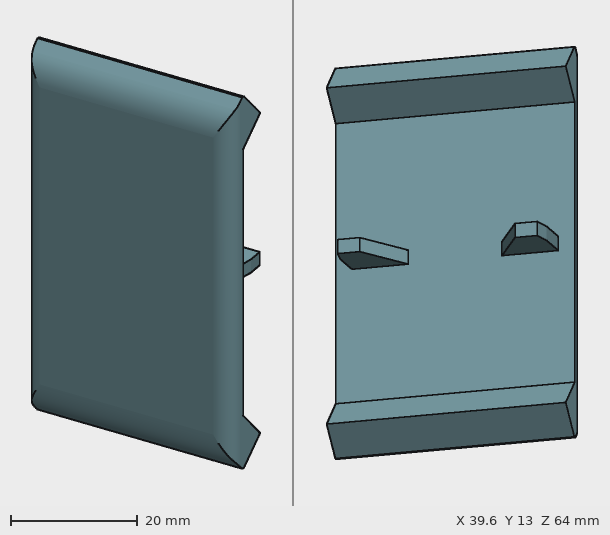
import cadquery as cq
import math

width = 39.6
height = 64.0
plate_thickness = 3.9
half_width = width / 2
half_height = height / 2

side_radius = 3.0

front_face_half_height = 25.6
edge_flat_front = 3.6
edge_flat_back = 4.1
rib_tip_depth = 8.5

peg_end_depth = 13.0
peg_taper_depth = 9.85
peg_thickness = 2.3
peg_outer_x = 17.1
peg_end_outer_x = 16.5
peg_end_inner_x = 12.85
peg_root_inner_x = 7.75


def edge_profile_body():
    """Extrude the Y-Z section of the plate and its two rear ribs across the width."""
    diagonal = math.sqrt(0.5)
    bevel_at_front = half_height - edge_flat_front
    arc_radius = (bevel_at_front - front_face_half_height) / (2 * diagonal - 1)
    arc_end_y = arc_radius * (1 - diagonal)
    arc_end_z = front_face_half_height + arc_radius * diagonal
    arc_mid_y = arc_radius * (1 - math.cos(math.pi / 8))
    arc_mid_z = front_face_half_height + arc_radius * math.sin(math.pi / 8)

    rib_tip_z = half_height - (rib_tip_depth - edge_flat_back)
    rib_root_z = rib_tip_z - (rib_tip_depth - plate_thickness)

    upper_half = (
        cq.Workplane("YZ", origin=(-half_width, 0, 0))
        .moveTo(0, 0)
        .lineTo(0, front_face_half_height)
        .threePointArc((arc_mid_y, arc_mid_z), (arc_end_y, arc_end_z))
        .lineTo(edge_flat_front, half_height)
        .lineTo(edge_flat_back, half_height)
        .lineTo(rib_tip_depth, rib_tip_z)
        .lineTo(plate_thickness, rib_root_z)
        .lineTo(plate_thickness, 0)
        .close()
        .extrude(width)
    )
    return upper_half.union(upper_half.mirror("XY"))


def side_envelope():
    """Full-height block with rounded vertical front edges, which trims the long sides."""
    return (
        cq.Workplane("XY")
        .box(width, rib_tip_depth, height, centered=(True, False, True))
        .edges("|Z and <Y")
        .fillet(side_radius)
    )


def right_peg():
    """Tapered flat peg standing on the rear face."""
    return (
        cq.Workplane("XY", origin=(0, 0, -peg_thickness / 2))
        .polyline([
            (peg_root_inner_x, plate_thickness),
            (peg_outer_x, plate_thickness),
            (peg_outer_x, peg_taper_depth),
            (peg_end_outer_x, peg_end_depth),
            (peg_end_inner_x, peg_end_depth),
        ])
        .close()
        .extrude(peg_thickness)
    )


peg = right_peg()
result = edge_profile_body().intersect(side_envelope())
result = result.union(peg).union(peg.mirror("YZ")).clean()